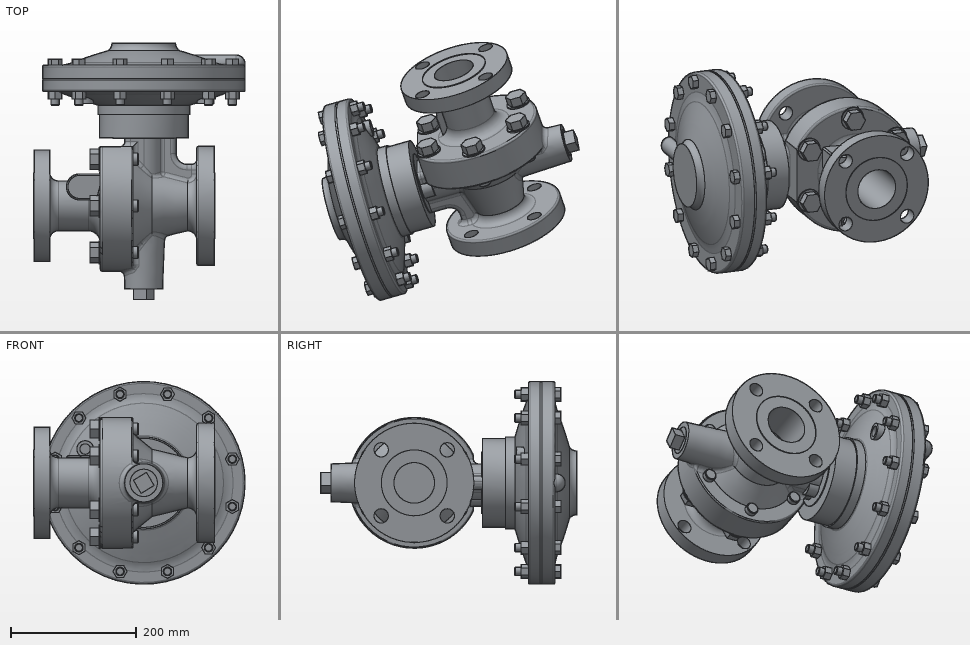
import cadquery as cq
import math

AXIS_X = cq.Vector(1, 0, 0)
AXIS_Y = cq.Vector(0, 1, 0)
ARC_MID = math.sqrt(0.5)

MARGIN = 1.0

INLET_FACE_X = -176.3
INLET_FLANGE_X = (-175.0, -150.0)
INLET_FLANGE_R = 89.2
OUTLET_FACE_X = 114.1
OUTLET_FLANGE_X = (84.6, 112.7)
OUTLET_FLANGE_R = 95.25
OUTLET_EDGE_R = 3.0
RAISED_FACE_R = 52.6
PIPE_R = 40.0
PIPE_FILLET = 13.5
BORE_R = 32.4
BORE_DEPTH = 150.0
OUTLET_BORE_DEPTH = 70.0
FLANGE_HOLE_R = 11.4
FLANGE_HOLE_CIRCLE_R = 74.6
FLANGE_HOLES = 4
FLANGE_HOLE_START = 45.0

COVER_FACE_X = -69.5
COVER_JOINT_X = -44.2
BODY_BACK_X = -17.4
COVER_R = 104.5
COVER_EDGE_R = 3.5
BODY_EDGE_R = 2.0
COVER_FILLET = 19.0
COVER_FLAT_Y = 94.5
CONE_ROOT_R = 79.5
CONE_KNEE_X = 13.2
CONE_KNEE_R = 53.8
NOZZLE_X = 70.0
COVER_BOLTS = 6
COVER_BOLT_START = 90.0
COVER_BOLT_CIRCLE_R = 86.0
COVER_WASHER_R = 18.6
COVER_WASHER_T = 2.2
COVER_HEAD_FLATS = 28.6
COVER_HEAD_H = 14.5
COVER_STUD_R = 9.7
COVER_STUD_END_X = -8.5
COVER_STUD_CHAMFER = 1.2

SIDE_BOSS_Y = (9.5, 51.0)
SIDE_BOSS_X = -123.5
SIDE_BOSS_TOP_Z = 43.6
SIDE_BOSS_EDGE = 2.5

PLUG_BOSS_END_Y = -132.6
PLUG_BOSS_ROOT_Y = -40.0
PLUG_BOSS_END_R = 30.4
PLUG_BOSS_ROOT_R = 34.0
PLUG_R = 21.8
PLUG_DEPTH = 20.0
PLUG_PROUD = 0.4
PLUG_SQUARE = 24.3
PLUG_TURN = 31.2
PLUG_END_Y = -149.51

CASTING_FILLET = 8.0

NECK_R = 30.4
NECK_CORNER_R = 9.0
NECK_PAD_R = 15.0
NECK_PAD_Z = -37.5
NECK_PAD_Y = 90.0
RIB_X = 52.0
RIB_HALF_Z = 11.0
RIB_ARC_R = 17.0
RIB_ARC_Y = 83.5
RIB_EDGE_R = 9.0
RIB_ROOT_FILLET = 8.0

CASE_R = 161.925
CASE_EDGE_R = 3.0
CASE_TOP_Y = 224.8
CASE_BOTTOM_Y = 182.2
DIAPHRAGM_Y = (200.8, 203.7)
DIAPHRAGM_INSET = 0.4
SPIGOT_END_Y = 107.3
SPIGOT_R = 49.0
BARREL_END_Y = 108.6
BARREL_R = 71.1
COLLAR_Y = (145.6, 160.5)
COLLAR_R = 73.5
LOWER_DOME_INNER = (75.8, 161.5)
LOWER_DOME_MID = (100.0, 168.8)
LOWER_DOME_OUTER = (127.3, 178.3)
LOWER_BLEND_MID = (134.5, 181.1)
LOWER_DOME_EDGE_R = 142.4
CAP_Y = 259.7
CAP_R = 51.0
CAP_BASE_R = 56.8
CAP_BASE_Y = 247.9
CAP_BLEND_MID = (52.7, 252.8)
UPPER_DOME_MID = (86.0, 238.9)
UPPER_DOME_EDGE = (115.0, 228.6)
UPPER_BLEND_MID = (122.3, 226.4)
UPPER_DOME_EDGE_R = 130.0

CASE_BOLTS = 12
CASE_BOLT_CIRCLE_R = 146.4
CASE_BOLT_START = 15.0
CASE_HEX_FLATS = 19.4
CASE_HEAD_H = 9.5
CASE_NUT_H = 11.7
CASE_STUD_R = 6.8
CASE_STUD_END_Y = 160.4
CASE_STUD_CHAMFER = 1.2
HEX_TURN = 15.0

VENT_CIRCLE_R = 108.0
VENT_ANGLES = (24.0, 150.0)
VENT_R = 13.3
VENT_FACE_Y = 163.3
VENT_ROOT_Y = 190.0
VENT_BORE_R = 8.4
VENT_BORE_DEPTH = 15.0
CONDUIT_R = 14.4
CONDUIT_TOP_Y = 241.0
CONDUIT_ROOT_X = 60.0


def cylinder(start, axis, length, radius):
    return cq.Workplane(cq.Solid.makeCylinder(radius, length, cq.Vector(*start), axis))


def hex_prism(start, normal, corner_dir, flats, height):
    """Hexagonal prism with one corner pointing along corner_dir."""
    plane = cq.Plane(origin=start, xDir=corner_dir, normal=normal)
    return cq.Workplane(plane).polygon(6, flats / math.cos(math.pi / 6)).extrude(height)


def on_circle(radius, degrees):
    angle = math.radians(degrees)
    return radius * math.cos(angle), radius * math.sin(angle)


def corner_mid(center, radius, sign_u, sign_v):
    """Middle point of a quarter arc about center, in the given quadrant."""
    return center[0] + sign_u * radius * ARC_MID, center[1] + sign_v * radius * ARC_MID


def fillet_edges(part, radius, low, high):
    """Fillet the edges lying wholly inside the box with corners low and high."""
    selector = cq.selectors.BoxSelector(low, high, boundingbox=True)
    return part.edges(selector).fillet(radius)


def valve_body():
    """Pipe, cover and body turned about X; points are (x, radius)."""
    pipe_start = INLET_FLANGE_X[1] + PIPE_FILLET
    pipe_end = COVER_FACE_X - COVER_FILLET
    inlet_fillet = (pipe_start, PIPE_R + PIPE_FILLET)
    cover_fillet = (pipe_end, PIPE_R + COVER_FILLET)
    cover_edge = (COVER_FACE_X + COVER_EDGE_R, COVER_R - COVER_EDGE_R)
    body_edge = (BODY_BACK_X - BODY_EDGE_R, COVER_R - BODY_EDGE_R)
    nozzle_fillet = OUTLET_FLANGE_X[0] - NOZZLE_X
    outlet_fillet = (NOZZLE_X, PIPE_R + nozzle_fillet)
    outlet_edge = (OUTLET_FLANGE_X[0] + OUTLET_EDGE_R, OUTLET_FLANGE_R - OUTLET_EDGE_R)
    profile = (
        cq.Workplane("XY")
        .moveTo(INLET_FACE_X, 0)
        .lineTo(INLET_FACE_X, RAISED_FACE_R)
        .lineTo(INLET_FLANGE_X[0], RAISED_FACE_R)
        .lineTo(INLET_FLANGE_X[0], INLET_FLANGE_R)
        .lineTo(INLET_FLANGE_X[1], INLET_FLANGE_R)
        .lineTo(INLET_FLANGE_X[1], PIPE_R + PIPE_FILLET)
        .threePointArc(corner_mid(inlet_fillet, PIPE_FILLET, -1, -1), (pipe_start, PIPE_R))
        .lineTo(pipe_end, PIPE_R)
        .threePointArc(
            corner_mid(cover_fillet, COVER_FILLET, 1, -1),
            (COVER_FACE_X, PIPE_R + COVER_FILLET),
        )
        .lineTo(COVER_FACE_X, cover_edge[1])
        .threePointArc(corner_mid(cover_edge, COVER_EDGE_R, -1, 1), (cover_edge[0], COVER_R))
        .lineTo(COVER_JOINT_X, COVER_R)
        .lineTo(body_edge[0], COVER_R)
        .threePointArc(corner_mid(body_edge, BODY_EDGE_R, 1, 1), (BODY_BACK_X, body_edge[1]))
        .lineTo(BODY_BACK_X, CONE_ROOT_R)
        .lineTo(CONE_KNEE_X, CONE_KNEE_R)
        .lineTo(NOZZLE_X, PIPE_R)
        .threePointArc(
            corner_mid(outlet_fillet, nozzle_fillet, 1, -1),
            (OUTLET_FLANGE_X[0], outlet_fillet[1]),
        )
        .lineTo(OUTLET_FLANGE_X[0], outlet_edge[1])
        .threePointArc(
            corner_mid(outlet_edge, OUTLET_EDGE_R, -1, 1),
            (outlet_edge[0], OUTLET_FLANGE_R),
        )
        .lineTo(OUTLET_FLANGE_X[1], OUTLET_FLANGE_R)
        .lineTo(OUTLET_FLANGE_X[1], RAISED_FACE_R)
        .lineTo(OUTLET_FACE_X, RAISED_FACE_R)
        .lineTo(OUTLET_FACE_X, 0)
        .close()
    )
    body = profile.revolve(360, (0, 0, 0), (1, 0, 0))
    return body.cut(cover_flat(), clean=False)


def cover_flat():
    """Block that trims the cover and body rims flat on the actuator side."""
    length = BODY_BACK_X - COVER_FACE_X
    return (
        cq.Workplane("XY")
        .box(length, COVER_R, 2 * COVER_R, centered=(False, False, True))
        .translate((COVER_FACE_X, COVER_FLAT_Y, 0))
    )


def cover_bolts():
    """Washers and hex heads on the cover, stud ends behind the body rim."""
    washer_x = COVER_FACE_X - COVER_WASHER_T
    rim = cylinder((washer_x, 0, 0), AXIS_X, COVER_WASHER_T, COVER_R)
    rim = rim.cut(cover_flat().translate((-COVER_WASHER_T, 0, 0)))
    parts = []
    for i in range(COVER_BOLTS):
        y, z = on_circle(COVER_BOLT_CIRCLE_R, COVER_BOLT_START + i * 360 / COVER_BOLTS)
        washer = cylinder((washer_x, y, z), AXIS_X, COVER_WASHER_T, COVER_WASHER_R)
        parts.append(washer.intersect(rim))
        head_start = (washer_x, y, z)
        parts.append(hex_prism(head_start, (-1, 0, 0), (0, 1, 0), COVER_HEAD_FLATS, COVER_HEAD_H))
        stud_length = COVER_STUD_END_X - COVER_JOINT_X
        stud = cylinder((COVER_JOINT_X, y, z), AXIS_X, stud_length, COVER_STUD_R)
        parts.append(stud.faces(">X").chamfer(COVER_STUD_CHAMFER))
    return parts


def side_boss():
    """Round-ended boss rising from the inlet pipe next to the cover."""
    half_width = (SIDE_BOSS_Y[1] - SIDE_BOSS_Y[0]) / 2
    center_y = (SIDE_BOSS_Y[1] + SIDE_BOSS_Y[0]) / 2
    center_x = SIDE_BOSS_X + half_width
    return (
        cq.Workplane("XY")
        .moveTo(COVER_FACE_X, SIDE_BOSS_Y[0])
        .lineTo(center_x, SIDE_BOSS_Y[0])
        .threePointArc((SIDE_BOSS_X, center_y), (center_x, SIDE_BOSS_Y[1]))
        .lineTo(COVER_FACE_X, SIDE_BOSS_Y[1])
        .close()
        .extrude(SIDE_BOSS_TOP_Z)
        .faces(">Z")
        .edges("not(>X)")
        .chamfer(SIDE_BOSS_EDGE)
    )


def plug_boss():
    """Tapered boss on the -Y side of the body."""
    length = PLUG_BOSS_ROOT_Y - PLUG_BOSS_END_Y
    start = cq.Vector(0, PLUG_BOSS_END_Y, 0)
    return cq.Workplane(
        cq.Solid.makeCone(PLUG_BOSS_END_R, PLUG_BOSS_ROOT_R, length, start, AXIS_Y)
    )


def plug():
    """Round plug with a turned square drive."""
    face_y = PLUG_BOSS_END_Y - PLUG_PROUD
    disc = cylinder((0, face_y, 0), AXIS_Y, PLUG_DEPTH, PLUG_R)
    square = (
        cq.Workplane("XZ", origin=(0, face_y, 0))
        .transformed(rotate=(0, 0, PLUG_TURN))
        .rect(PLUG_SQUARE, PLUG_SQUARE)
        .extrude(face_y - PLUG_END_Y)
    )
    return [disc, square]


def neck():
    """Neck from the body up to the actuator: square on the inlet side, round on the other."""
    block = (
        cq.Workplane("XY")
        .box(NECK_R, BARREL_END_Y, 2 * NECK_R, centered=(False, False, True))
        .translate((-NECK_R, 0, 0))
        .edges("|Y and <X")
        .fillet(NECK_CORNER_R)
    )
    return block.union(cylinder((0, 0, 0), AXIS_Y, BARREL_END_Y, NECK_R), clean=False)


def neck_pad():
    """Round pad under the neck."""
    length = BARREL_END_Y - NECK_PAD_Y
    return cylinder((0, NECK_PAD_Y, NECK_PAD_Z + NECK_PAD_R), AXIS_Y, length, NECK_PAD_R)


def rib():
    """Rounded web joining the neck to the outlet flange under a concave arc."""
    arc_x = RIB_X + RIB_ARC_R
    flange_x = OUTLET_FLANGE_X[0] + OUTLET_EDGE_R
    return (
        cq.Workplane("XY")
        .moveTo(0, 0)
        .lineTo(0, BARREL_END_Y)
        .lineTo(RIB_X, BARREL_END_Y)
        .lineTo(RIB_X, RIB_ARC_Y)
        .threePointArc(
            corner_mid((arc_x, RIB_ARC_Y), RIB_ARC_R, -1, -1),
            (arc_x, RIB_ARC_Y - RIB_ARC_R),
        )
        .lineTo(flange_x, RIB_ARC_Y - RIB_ARC_R)
        .lineTo(flange_x, 0)
        .close()
        .extrude(RIB_HALF_Z, both=True)
        .edges("%CIRCLE")
        .fillet(RIB_EDGE_R)
    )


def actuator():
    """Diaphragm case, domes, collar and barrel turned about Y; points are (radius, y)."""
    low_edge = (CASE_R - CASE_EDGE_R, CASE_BOTTOM_Y + CASE_EDGE_R)
    high_edge = (CASE_R - CASE_EDGE_R, CASE_TOP_Y - CASE_EDGE_R)
    diaphragm_r = CASE_R - DIAPHRAGM_INSET
    profile = (
        cq.Workplane("XY")
        .moveTo(0, SPIGOT_END_Y)
        .lineTo(SPIGOT_R, SPIGOT_END_Y)
        .lineTo(SPIGOT_R, BARREL_END_Y)
        .lineTo(BARREL_R, BARREL_END_Y)
        .lineTo(BARREL_R, COLLAR_Y[0])
        .lineTo(COLLAR_R, COLLAR_Y[0])
        .lineTo(COLLAR_R, COLLAR_Y[1])
        .lineTo(*LOWER_DOME_INNER)
        .threePointArc(LOWER_DOME_MID, LOWER_DOME_OUTER)
        .threePointArc(LOWER_BLEND_MID, (LOWER_DOME_EDGE_R, CASE_BOTTOM_Y))
        .lineTo(low_edge[0], CASE_BOTTOM_Y)
        .threePointArc(corner_mid(low_edge, CASE_EDGE_R, 1, -1), (CASE_R, low_edge[1]))
        .lineTo(CASE_R, DIAPHRAGM_Y[0])
        .lineTo(diaphragm_r, DIAPHRAGM_Y[0])
        .lineTo(diaphragm_r, DIAPHRAGM_Y[1])
        .lineTo(CASE_R, DIAPHRAGM_Y[1])
        .lineTo(CASE_R, high_edge[1])
        .threePointArc(corner_mid(high_edge, CASE_EDGE_R, 1, 1), (high_edge[0], CASE_TOP_Y))
        .lineTo(UPPER_DOME_EDGE_R, CASE_TOP_Y)
        .threePointArc(UPPER_BLEND_MID, UPPER_DOME_EDGE)
        .threePointArc(UPPER_DOME_MID, (CAP_BASE_R, CAP_BASE_Y))
        .threePointArc(CAP_BLEND_MID, (CAP_R, CAP_Y))
        .lineTo(0, CAP_Y)
        .close()
    )
    return profile.revolve(360, (0, 0, 0), (0, 1, 0))


def case_bolts():
    """Ring of bolts: heads on the +Y side, nuts and stud ends on the -Y side."""
    parts = []
    for i in range(CASE_BOLTS):
        angle = CASE_BOLT_START + i * 360 / CASE_BOLTS
        x, z = on_circle(CASE_BOLT_CIRCLE_R, angle)
        head_x, head_z = on_circle(1, angle + HEX_TURN)
        nut_x, nut_z = on_circle(1, angle - HEX_TURN)
        head_start = (x, CASE_TOP_Y, z)
        nut_start = (x, CASE_BOTTOM_Y, z)
        parts.append(hex_prism(head_start, (0, 1, 0), (head_x, 0, head_z), CASE_HEX_FLATS, CASE_HEAD_H))
        nut = hex_prism(nut_start, (0, -1, 0), (nut_x, 0, nut_z), CASE_HEX_FLATS, CASE_NUT_H)
        parts.append(nut)
        stud_length = CASE_TOP_Y - CASE_STUD_END_Y
        stud = cylinder((x, CASE_STUD_END_Y, z), AXIS_Y, stud_length, CASE_STUD_R)
        parts.append(stud.faces("<Y").chamfer(CASE_STUD_CHAMFER))
    return parts


def vent_bosses():
    parts = []
    for angle in VENT_ANGLES:
        x, z = on_circle(VENT_CIRCLE_R, angle)
        parts.append(cylinder((x, VENT_FACE_Y, z), AXIS_Y, VENT_ROOT_Y - VENT_FACE_Y, VENT_R))
    return parts


def vent_bores():
    bores = []
    for angle in VENT_ANGLES:
        x, z = on_circle(VENT_CIRCLE_R, angle)
        bores.append(cylinder((x, VENT_FACE_Y, z), AXIS_Y, VENT_BORE_DEPTH, VENT_BORE_R))
    return bores


def conduit():
    """Round-ended tube lying on the upper dome, pointing to +X."""
    center_y = CONDUIT_TOP_Y - CONDUIT_R
    end_x = CASE_R - CONDUIT_R
    tube = cylinder((CONDUIT_ROOT_X, center_y, 0), AXIS_X, end_x - CONDUIT_ROOT_X, CONDUIT_R)
    end = cq.Workplane("XY").sphere(CONDUIT_R).translate((end_x, center_y, 0))
    return [tube, end]


def flange_bores():
    """Blind bores and the bolt holes of both pipe flanges."""
    bores = [
        cylinder((INLET_FACE_X, 0, 0), AXIS_X, BORE_DEPTH, BORE_R),
        cylinder((OUTLET_FACE_X - OUTLET_BORE_DEPTH, 0, 0), AXIS_X, OUTLET_BORE_DEPTH, BORE_R),
    ]
    for i in range(FLANGE_HOLES):
        y, z = on_circle(FLANGE_HOLE_CIRCLE_R, FLANGE_HOLE_START + i * 360 / FLANGE_HOLES)
        for start, end in (INLET_FLANGE_X, OUTLET_FLANGE_X):
            bores.append(cylinder((start, y, z), AXIS_X, end - start, FLANGE_HOLE_R))
    return bores


def casting():
    """Valve body with its plug boss, neck and rib blended in."""
    reach = COVER_R + MARGIN
    side = PLUG_BOSS_ROOT_R + MARGIN
    part = valve_body().union(plug_boss(), clean=False)
    part = fillet_edges(part, CASTING_FILLET, (-side, -reach, -side), (side, PLUG_BOSS_ROOT_Y, side))
    part = part.union(neck(), clean=False)
    side = NECK_R + MARGIN
    part = fillet_edges(part, CASTING_FILLET, (-side, PIPE_R, -side), (side, COVER_FLAT_Y + MARGIN, side))
    part = part.union(rib(), clean=False)
    side = RIB_HALF_Z + MARGIN
    rib_top = RIB_ARC_Y - RIB_ARC_R
    return fillet_edges(
        part,
        RIB_ROOT_FILLET,
        (NECK_R - RIB_EDGE_R, 0, -side),
        (OUTLET_FLANGE_X[0] + MARGIN, rib_top - RIB_EDGE_R - MARGIN, side),
    )


def build():
    additions = [side_boss(), neck_pad(), actuator()]
    additions += plug() + cover_bolts() + case_bolts() + vent_bosses() + conduit()
    part = casting().val().fuse(*[addition.val() for addition in additions])
    return cq.Workplane(part.cut(*[bore.val() for bore in flange_bores() + vent_bores()]))


result = build()